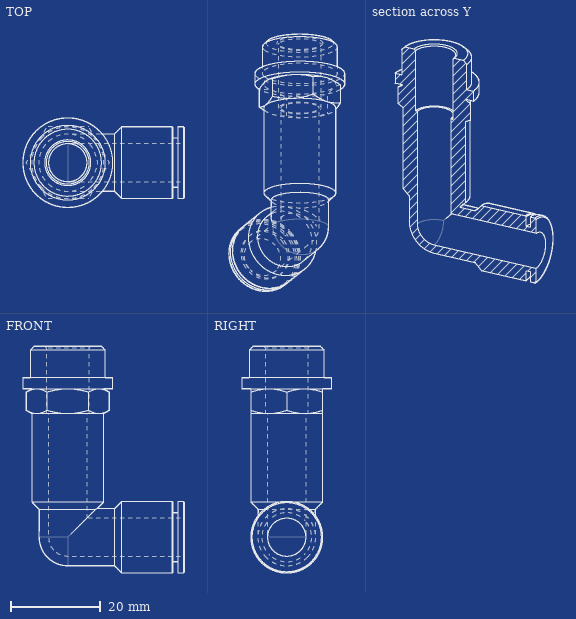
import cadquery as cq
import math


stem_top = 42.5
flange_top = 35.5
hex_top = 33.0
hex_bottom = 27.5
sleeve_bottom = 7.8

thread_diameter = 16.66
thread_chamfer = 0.85
flange_diameter = 20.0
hex_sides = 6
hex_across_flats = 16.0
hex_chamfer_angle = 30.0
sleeve_diameter = 16.0

elbow_diameter = 12.8
shoulder_size = (sleeve_diameter - elbow_diameter) / 2

branch_end = 26.0
collar_start = 24.5
socket_end = 23.45
socket_start = 12.0

socket_diameter = 16.0
neck_diameter = 11.0
collar_diameter = 16.0
collar_chamfer = 0.3
socket_chamfer = 0.2

elbow_bore_diameter = 8.5
stem_bore_diameter = 9.52
stem_bore_bottom = hex_bottom
bore_mouth_chamfer = 0.35


def rod(plane, diameter, start, end):
    """Cylinder along the normal of the plane, between two distances from the origin."""
    return cq.Workplane(plane).workplane(offset=start).circle(diameter / 2).extrude(end - start)


def cone(plane, start_diameter, end_diameter, start, end):
    """Cone frustum along the normal of the plane, between two distances from the origin."""
    start_circle = cq.Workplane(plane).workplane(offset=start).circle(start_diameter / 2)
    return start_circle.workplane(offset=end - start).circle(end_diameter / 2).loft()


def mitred_elbow(diameter, stem_end, tube_end):
    """Two equal cylinders meeting at the origin, with a ball rounding the outer corner."""
    ball = cq.Workplane("XY").sphere(diameter / 2)
    return rod("XY", diameter, 0, stem_end).union(rod("YZ", diameter, 0, tube_end)).union(ball)


def hexagon():
    """Hexagon with flats facing +-Y, its corners cut back by a cone at both ends."""
    flat_radius = hex_across_flats / 2
    corner_radius = flat_radius / math.cos(math.pi / hex_sides)
    corner_drop = (corner_radius - flat_radius) * math.tan(math.radians(hex_chamfer_angle))
    prism = (
        cq.Workplane("XY")
        .workplane(offset=hex_bottom)
        .polygon(hex_sides, 2 * corner_radius)
        .extrude(hex_top - hex_bottom)
    )
    chamfer_envelope = (
        cq.Workplane("XZ")
        .moveTo(0, hex_bottom)
        .lineTo(flat_radius, hex_bottom)
        .lineTo(corner_radius, hex_bottom + corner_drop)
        .lineTo(corner_radius, hex_top - corner_drop)
        .lineTo(flat_radius, hex_top)
        .lineTo(0, hex_top)
        .close()
        .revolve(360, (0, 0, 0), (0, 1, 0))
    )
    return prism.intersect(chamfer_envelope)


def stem():
    thread = rod("XY", thread_diameter, flange_top, stem_top).faces(">Z").edges().chamfer(thread_chamfer)
    flange = rod("XY", flange_diameter, hex_top, flange_top)
    sleeve = rod("XY", sleeve_diameter, sleeve_bottom, hex_bottom)
    shoulder = cone("XY", elbow_diameter, sleeve_diameter, sleeve_bottom - shoulder_size, sleeve_bottom)
    return thread.union(flange).union(hexagon()).union(sleeve).union(shoulder)


def branch():
    shoulder = cone("YZ", elbow_diameter, socket_diameter, socket_start - shoulder_size, socket_start)
    socket = rod("YZ", socket_diameter, socket_start, socket_end).faces(">X").edges().chamfer(socket_chamfer)
    neck = rod("YZ", neck_diameter, socket_end, collar_start)
    collar = rod("YZ", collar_diameter, collar_start, branch_end).faces(">X").edges().chamfer(collar_chamfer)
    return shoulder.union(socket).union(neck).union(collar)


def bore():
    """Passage from the top of the stem, round the elbow, to the end of the branch."""
    passage = mitred_elbow(elbow_bore_diameter, stem_bore_bottom, branch_end)
    stem_bore = rod("XY", stem_bore_diameter, stem_bore_bottom, stem_top)
    mouth_diameter = stem_bore_diameter + 2 * bore_mouth_chamfer
    mouth = cone("XY", stem_bore_diameter, mouth_diameter, stem_top - bore_mouth_chamfer, stem_top)
    return passage.union(stem_bore).union(mouth)


elbow = mitred_elbow(elbow_diameter, sleeve_bottom - shoulder_size, socket_start - shoulder_size)
result = elbow.union(stem()).union(branch()).cut(bore())